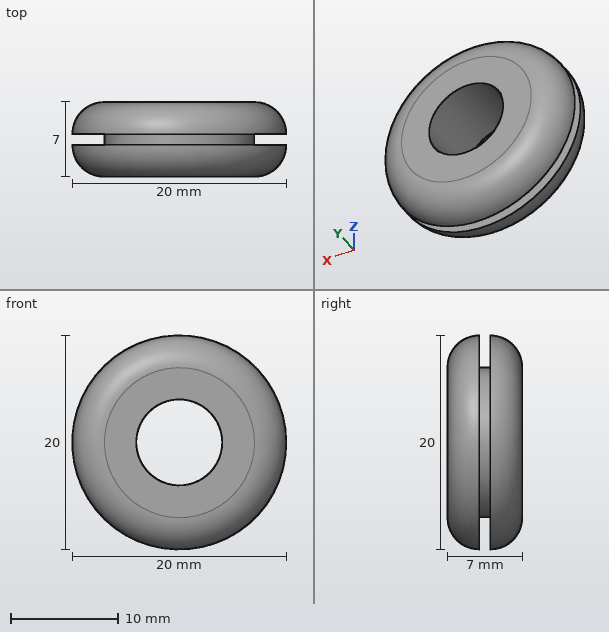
import cadquery as cq

outer_diameter = 20.0
bore_diameter = 8.0
flange_thickness = 3.0
groove_width = 1.0
rounding_radius = flange_thickness

outer_radius = outer_diameter / 2
bore_radius = bore_diameter / 2
face_radius = outer_radius - rounding_radius
groove_radius = face_radius
half_groove = groove_width / 2
half_width = half_groove + flange_thickness
diagonal = rounding_radius * 0.5**0.5
arc_mid_radius = face_radius + diagonal
arc_mid_y = half_groove + diagonal

section = (
    cq.Workplane("XY")
    .moveTo(bore_radius, -half_width)
    .lineTo(face_radius, -half_width)
    .threePointArc((arc_mid_radius, -arc_mid_y), (outer_radius, -half_groove))
    .lineTo(groove_radius, -half_groove)
    .lineTo(groove_radius, half_groove)
    .lineTo(outer_radius, half_groove)
    .threePointArc((arc_mid_radius, arc_mid_y), (face_radius, half_width))
    .lineTo(bore_radius, half_width)
    .close()
)

result = section.revolve(360, (0, 0, 0), (0, 1, 0))